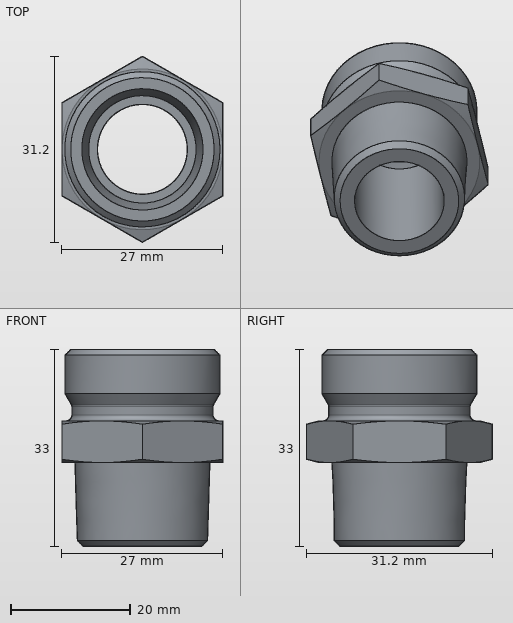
import cadquery as cq
import math

total_height = 33.0
hex_bottom = 14.02
hex_top = 21.02
collar_bottom = 25.6

hex_across_flats = 27.0
hex_bevel_angle = 15.0
hex_face_radius = 13.45

collar_radius = 26.0 / 2
neck_radius = 23.7 / 2
neck_fillet = 1.0
undercut_angle = 30.0
undercut_fillet = 0.8
collar_chamfer = 1.0

taper_top_radius = 11.32
taper_bottom_radius = 10.92
taper_chamfer = 1.0

bore_radius = 15.0 / 2
socket_radius = 18.0 / 2
mouth_radius = 10.15
mouth_half_angle = 12.0
socket_depth = 7.5


def revolve_profile(points):
    """Revolve a closed (radius, height) outline about the Z axis."""
    return cq.Workplane("XZ").polyline(points).close().revolve(360, (0, 0), (0, 1))


def make_hexagon():
    """Hexagon with flats facing +X and -X, its corners bevelled at both ends."""
    corner_radius = hex_across_flats / math.sqrt(3)
    bevel_drop = (corner_radius - hex_face_radius) * math.tan(math.radians(hex_bevel_angle))
    prism = (
        cq.Workplane("XY", origin=(0, 0, hex_bottom))
        .polygon(6, 2 * corner_radius)
        .extrude(hex_top - hex_bottom)
        .rotate((0, 0, 0), (0, 0, 1), 30)
    )
    bevel_envelope = revolve_profile([
        (0, hex_bottom),
        (hex_face_radius, hex_bottom),
        (corner_radius, hex_bottom + bevel_drop),
        (corner_radius, hex_top - bevel_drop),
        (hex_face_radius, hex_top),
        (0, hex_top),
    ])
    return prism.intersect(bevel_envelope)


def make_upper_end():
    """Chamfered collar on a narrower neck that flares into the hexagon."""
    slope = math.radians(undercut_angle)
    neck_top = collar_bottom - (collar_radius - neck_radius) / math.tan(slope)
    tangent_length = undercut_fillet * math.tan(slope / 2)
    fillet_start = neck_top - tangent_length
    flare_middle = neck_fillet * (1 - math.sqrt(0.5))
    return (
        cq.Workplane("XZ")
        .moveTo(0, hex_bottom)
        .lineTo(neck_radius + neck_fillet, hex_bottom)
        .lineTo(neck_radius + neck_fillet, hex_top)
        .threePointArc(
            (neck_radius + flare_middle, hex_top + flare_middle),
            (neck_radius, hex_top + neck_fillet),
        )
        .lineTo(neck_radius, fillet_start)
        .threePointArc(
            (
                neck_radius + undercut_fillet * (1 - math.cos(slope / 2)),
                fillet_start + undercut_fillet * math.sin(slope / 2),
            ),
            (
                neck_radius + undercut_fillet * (1 - math.cos(slope)),
                fillet_start + undercut_fillet * math.sin(slope),
            ),
        )
        .lineTo(collar_radius, collar_bottom)
        .lineTo(collar_radius, total_height - collar_chamfer)
        .lineTo(collar_radius - collar_chamfer, total_height)
        .lineTo(0, total_height)
        .close()
        .revolve(360, (0, 0), (0, 1))
    )


def make_tapered_end():
    """Slightly tapered spigot with a chamfered lower rim."""
    return revolve_profile([
        (0, 0),
        (taper_bottom_radius - taper_chamfer, 0),
        (taper_bottom_radius, taper_chamfer),
        (taper_top_radius, hex_bottom),
        (0, hex_bottom),
    ])


def make_bore():
    """Through bore, tube socket and conical mouth."""
    mouth_depth = (mouth_radius - socket_radius) / math.tan(math.radians(mouth_half_angle))
    socket_floor = total_height - socket_depth
    return revolve_profile([
        (0, 0),
        (bore_radius, 0),
        (bore_radius, socket_floor),
        (socket_radius, socket_floor),
        (socket_radius, total_height - mouth_depth),
        (mouth_radius, total_height),
        (0, total_height),
    ])


result = make_hexagon().union(make_upper_end()).union(make_tapered_end()).cut(make_bore())